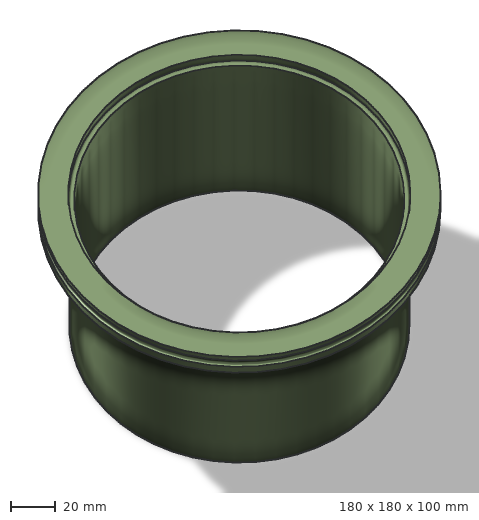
import cadquery as cq

flange_radius = 90.0
tube_outer_radius = 76.1
bore_radius = 73.8
total_height = 100.0
flange_thickness = 12.0
top_lip_thickness = 2.9
groove_radius = 2.3
recess_radius = 76.5
recess_depth = 4.5

flange_bottom = total_height - flange_thickness
groove_top = total_height - top_lip_thickness
groove_middle = groove_top - groove_radius
groove_bottom = groove_middle - groove_radius
recess_floor = total_height - recess_depth

half_section = (
    cq.Workplane("XZ")
    .moveTo(bore_radius, 0)
    .lineTo(tube_outer_radius, 0)
    .lineTo(tube_outer_radius, flange_bottom)
    .lineTo(flange_radius, flange_bottom)
    .lineTo(flange_radius, groove_bottom)
    .threePointArc((flange_radius - groove_radius, groove_middle), (flange_radius, groove_top))
    .lineTo(flange_radius, total_height)
    .lineTo(recess_radius, total_height)
    .lineTo(recess_radius, recess_floor)
    .lineTo(bore_radius, recess_floor)
    .close()
)

result = half_section.revolve(360, (0, 0, 0), (0, 1, 0))